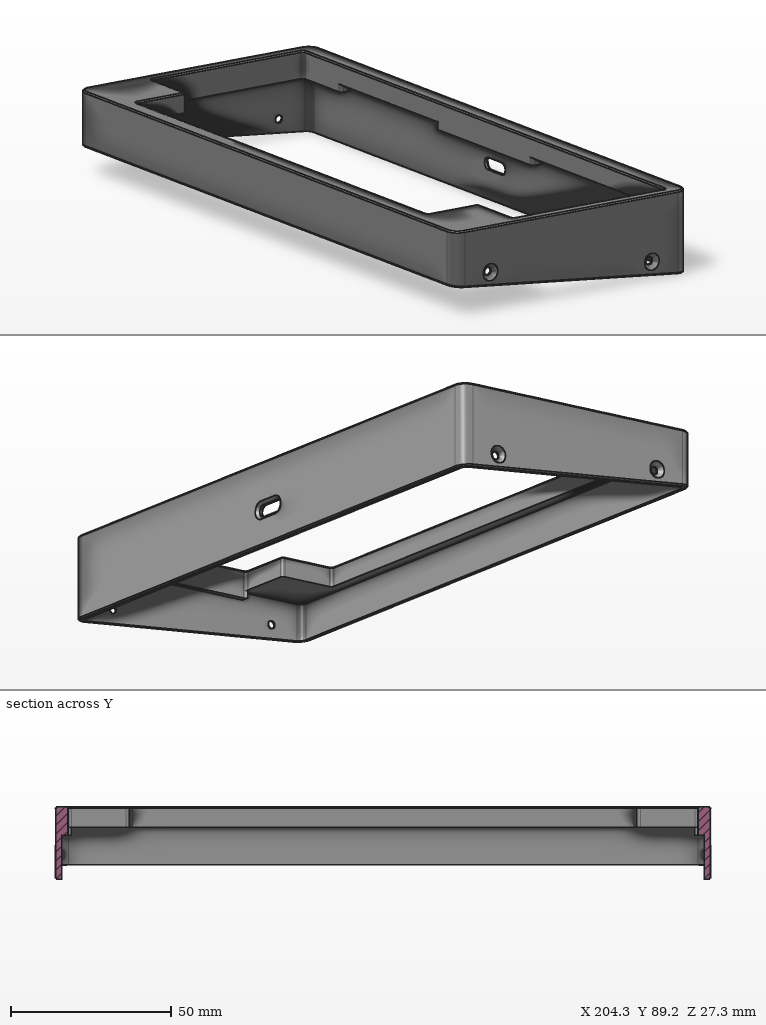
import cadquery as cq
import math

length = 204.26
width = 89.2
front_height = 18.0
tilt_angle = 6.0
corner_radius = 4.0
edge_chamfer = 0.5
wall = 2.0

cavity_radius = corner_radius - wall

side_lip = 4.0
end_lip = 6.0
plate_width = 23.0
plate_depth = 25.2
opening_radius = 1.0

lip_depth = 9.0
relief_depth = 6.5
relief_inner_x = 26.0
relief_outer_x = 78.0
lip_edge_radius = 1.0

screw_diameter = 2.5
screw_head_diameter = 5.5
screw_height = 4.5
screw_near_distance = 13.9
screw_far_distance = 75.4

slot_length = 11.2
slot_height = 4.0
slot_depth = 15.7
slot_flare = 1.0
flare_angle = 45.0

tilt = math.tan(math.radians(tilt_angle))
back_height = front_height + width * tilt
half_length = length / 2
half_width = width / 2
inner_length = length - 2 * wall
inner_width = width - 2 * wall


def underside_z(y):
    """Height of the sloping underside at the given y."""
    return -front_height - (y + half_width) * tilt


def make_body():
    """Wedge with rounded vertical corners and chamfered top and bottom edges."""
    profile = [
        (-half_width, 0),
        (half_width, 0),
        (half_width, -back_height),
        (-half_width, -front_height),
    ]
    body = cq.Workplane("YZ").polyline(profile).close().extrude(half_length, both=True)
    body = body.edges("|Z").fillet(corner_radius)
    return body.faces(">Z or <Z").edges().chamfer(edge_chamfer)


def block(x_min, x_max, y_min, y_max, z_min, z_max):
    """Axis-aligned box given by its limits."""
    size = (x_max - x_min, y_max - y_min, z_max - z_min)
    return cq.Workplane("XY").box(*size, centered=False).translate((x_min, y_min, z_min))


def make_cavity():
    """Hollow inside the walls, open at the bottom, with raised reliefs under the lip."""
    def inner_prism(top):
        prism = cq.Workplane("XY").workplane(offset=top).rect(inner_length, inner_width)
        return prism.extrude(-back_height).edges("|Z").fillet(cavity_radius)

    back_edge = half_width - end_lip
    front_edge = plate_depth - half_width
    relief_limits = [
        (-relief_outer_x, -relief_inner_x, back_edge, half_width),
        (relief_inner_x, relief_outer_x, back_edge, half_width),
        (-half_length, half_length, -half_width, front_edge),
    ]
    cavity = inner_prism(-lip_depth)
    raised_cavity = inner_prism(-relief_depth)
    for limits in relief_limits:
        relief = block(*limits, -back_height, 0)
        cavity = cavity.union(raised_cavity.intersect(relief))
    return cavity


def make_opening():
    """Stepped opening through the top, with rounded corners."""
    wide_x = half_length - side_lip
    narrow_x = half_length - plate_width
    back_y = half_width - end_lip
    step_y = plate_depth - half_width
    front_y = end_lip - half_width
    outline = [
        (-wide_x, back_y),
        (wide_x, back_y),
        (wide_x, step_y),
        (narrow_x, step_y),
        (narrow_x, front_y),
        (-narrow_x, front_y),
        (-narrow_x, step_y),
        (-wide_x, step_y),
    ]
    opening = cq.Workplane("XY").polyline(outline).close().extrude(-back_height)
    return opening.edges("|Z").fillet(opening_radius)


def make_screw_hole(y):
    """Countersunk hole across both side walls, at a fixed height above the underside."""
    z = underside_z(y) + screw_height
    sink_depth = (screw_head_diameter - screw_diameter) / 2
    hole = cq.Workplane("YZ").center(y, z).circle(screw_diameter / 2).extrude(half_length, both=True)
    for side in (-1, 1):
        sink = cq.Solid.makeCone(
            screw_head_diameter / 2,
            screw_diameter / 2,
            sink_depth,
            pnt=cq.Vector(side * half_length, y, z),
            dir=cq.Vector(-side, 0, 0),
        )
        hole = hole.union(cq.Workplane(sink))
    return hole


def make_slot():
    """Round-ended cable slot through the back wall, flared at 45 degrees on the outside."""
    slot = cq.Workplane("XZ", origin=(0, half_width, -slot_depth))
    slot = slot.slot2D(slot_length, slot_height).extrude(wall)
    flare = cq.Workplane("XZ", origin=(0, half_width, -slot_depth))
    flare = flare.slot2D(slot_length + 2 * slot_flare, slot_height + 2 * slot_flare)
    return slot.union(flare.extrude(slot_flare, taper=flare_angle))


def chamfer_opening_rim(part):
    """Chamfer the upper rim of the opening, leaving the outer top edge alone."""
    flat_tolerance = 0.01
    inside_x = half_length - 2 * edge_chamfer
    inside_y = half_width - 2 * edge_chamfer
    rim = cq.selectors.BoxSelector(
        (-inside_x, -inside_y, -flat_tolerance),
        (inside_x, inside_y, flat_tolerance),
        boundingbox=True,
    )
    return part.edges(rim).chamfer(edge_chamfer)


def round_relief_ends(part):
    """Round the upright lip edges at both ends of each back relief."""
    reach = 0.1
    back_y = half_width - end_lip
    for side in (-1, 1):
        for x in (side * relief_inner_x, side * relief_outer_x):
            edge = cq.selectors.BoxSelector(
                (x - reach, back_y - reach, -lip_depth - reach),
                (x + reach, back_y + reach, -relief_depth + reach),
                boundingbox=True,
            )
            part = part.edges(edge).edges("|Z").fillet(lip_edge_radius)
    return part


result = make_body().cut(make_cavity()).cut(make_opening())
result = round_relief_ends(chamfer_opening_rim(result))
for back_distance in (screw_near_distance, screw_far_distance):
    result = result.cut(make_screw_hole(half_width - back_distance))
result = result.cut(make_slot())